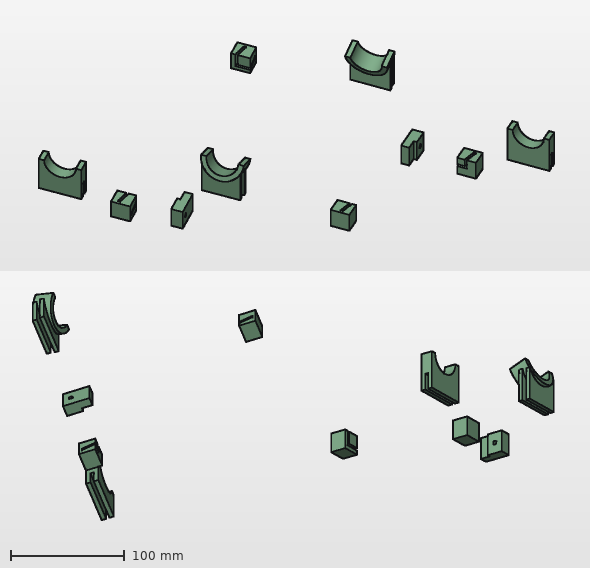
import cadquery as cq
import math

bore_radius = 15.0
saddle_radius = 20.0

plain_width = 2 * saddle_radius
plain_thickness = 11.5
plain_height = 35.0
plain_base_z = 20.0
foot_slot_width = 3.0
foot_slot_height = 15.1

ring_tilt = 20.0
ring_length = 17.6
ring_center_x = 170.0
ring_front_y = 7.7
ring_front_z = 103.9
leg_thickness = 3.8
leg_bottom_z = 65.0
leg_top_z = 95.3
front_leg_y = 4.0
front_leg_half_width = 18.2
back_leg_y = 11.1
back_leg_half_width = 19.1

block_side = 18.0
block_depth = 15.3
slot_depth = 12.6
slot_width = 2.3
slot_slant = 15.0
slot_shift = slot_depth * math.tan(math.radians(slot_slant))
upper_block_corner = (113.0, 176.0, 48.5)
upper_slot_inset = 4.0
lower_block_corner = (64.7, 8.8, 0.0)
lower_slot_inset = 8.6

stop_corner = (120.2, 11.5, 5.2)
stop_width = 11.0
stop_length = 24.9
stop_height = 20.0
step_depth = 3.0
step_start = 15.0
stop_hole_diameter = 3.6


def box(corner, size):
    """Box placed by its lowest X, Y and Z corner."""
    return cq.Workplane("XY").box(*size, centered=False).translate(corner)


def make_plain_saddle():
    body = box((0, 0, plain_base_z), (plain_width, plain_thickness, plain_height))
    seat = (
        cq.Workplane("XZ")
        .center(plain_width / 2, plain_base_z + plain_height)
        .circle(bore_radius)
        .extrude(-plain_thickness)
    )
    slot_y = (plain_thickness - foot_slot_width) / 2
    slot = box((0, slot_y, plain_base_z), (plain_width, foot_slot_width, foot_slot_height))
    return body.cut(seat).cut(slot)


def make_tilted_saddle():
    tilt = math.radians(ring_tilt)
    ring_plane = cq.Plane(
        origin=(ring_center_x, ring_front_y, ring_front_z),
        xDir=(1, 0, 0),
        normal=(0, math.cos(tilt), -math.sin(tilt)),
    )
    ring = (
        cq.Workplane(ring_plane)
        .moveTo(-saddle_radius, 0)
        .threePointArc((0, saddle_radius), (saddle_radius, 0))
        .lineTo(bore_radius, 0)
        .threePointArc((0, bore_radius), (-bore_radius, 0))
        .close()
        .extrude(ring_length)
    )
    ring_envelope = (
        cq.Workplane(ring_plane)
        .circle(saddle_radius)
        .extrude(ring_length, both=True)
    )
    body = ring
    for leg_y, half_width in (
        (front_leg_y, front_leg_half_width),
        (back_leg_y, back_leg_half_width),
    ):
        leg = box(
            (ring_center_x - half_width, leg_y, leg_bottom_z),
            (2 * half_width, leg_thickness, leg_top_z - leg_bottom_z),
        )
        body = body.union(leg.cut(ring_envelope))
    return body


def slot_outline(inset):
    """L outline with its corner at the inset, running out past the top and +X sides."""
    inner = inset + slot_width
    end = 2 * block_side
    return cq.Wire.makePolygon(
        [
            cq.Vector(inset, 0, inset),
            cq.Vector(end, 0, inset),
            cq.Vector(end, 0, inner),
            cq.Vector(inner, 0, inner),
            cq.Vector(inner, 0, end),
            cq.Vector(inset, 0, end),
        ],
        close=True,
    )


def make_slotted_block(corner, mouth_y, slot_inset, direction):
    """Block with its slot mouth at mouth_y, cut along +Y (direction 1) or -Y (direction -1)."""
    body = cq.Workplane("XY").box(block_side, block_depth, block_side, centered=False)
    sweep = cq.Vector(slot_shift, slot_depth, slot_shift) * direction
    profile = cq.Face.makeFromWires(slot_outline(slot_inset))
    slot = cq.Solid.extrudeLinear(profile, sweep).translate(cq.Vector(0, mouth_y, 0))
    return body.cut(cq.Workplane(slot)).translate(corner)


def make_stop():
    body = box((0, 0, 0), (stop_width, stop_length, stop_height))
    step = box((0, step_start, 0), (step_depth, stop_length - step_start, stop_height))
    hole = (
        cq.Workplane("YZ")
        .center(step_start / 2, stop_height / 2)
        .circle(stop_hole_diameter / 2)
        .extrude(stop_width)
    )
    return body.cut(step).cut(hole).translate(stop_corner)


plain_saddle = make_plain_saddle()
tilted_saddle = make_tilted_saddle()
upper_block = make_slotted_block(upper_block_corner, 0, upper_slot_inset, 1)
lower_block = make_slotted_block(lower_block_corner, block_depth, lower_slot_inset, -1)
stop = make_stop()

result = cq.Compound.makeCompound(
    [
        plain_saddle.val(),
        tilted_saddle.val(),
        upper_block.val(),
        lower_block.val(),
        stop.val(),
    ]
)